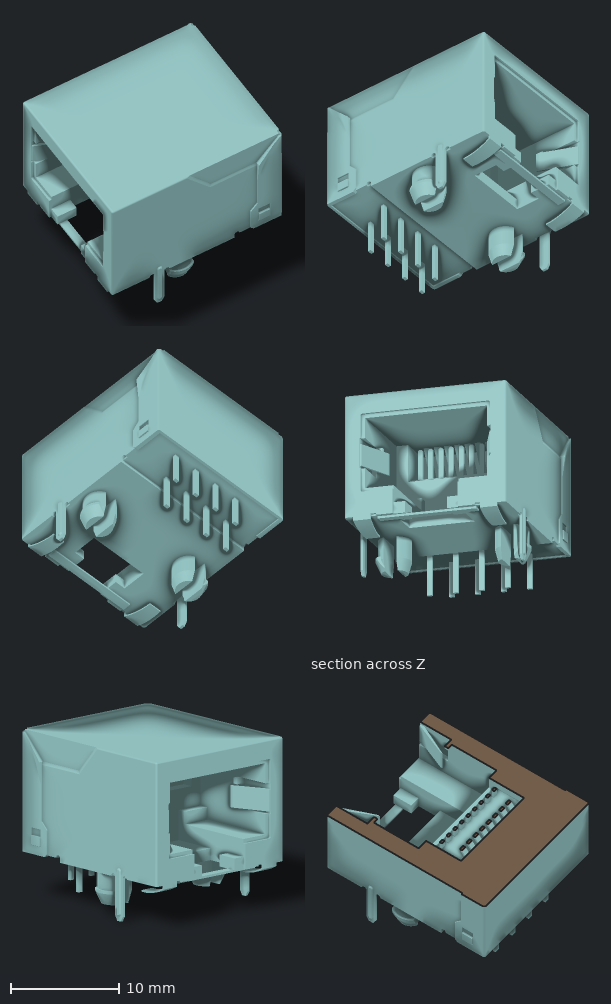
import cadquery as cq
import math


length = 18.45
overall_width = 16.59
half_width = 7.9
height = 11.85
sheet = 0.25
bend_radius = 0.2

window_half_width = 6.33
window_bottom = 2.4
window_top = 9.96
window_radius = 0.18
lip = 0.39
cavity_half_width = window_half_width - lip
cavity_bottom = window_bottom + lip
cavity_top = window_top - lip
cavity_back = 9.22
latch_slot_half_width = 3.17
floor_front = 4.8
floor_top = 1.13

contact_count = 8
contact_span = 7.0
contact_pitch = contact_span / (contact_count - 1)
comb_half_width = 4.8
comb_sill_bottom = 6.0
comb_sill_top = 6.45
comb_front = 10.33
comb_thickness = 0.28
comb_back = 13.28
finger_width = 0.45
finger_round = 0.2
finger_top = 9.37
wire_thickness = 0.28
wire_front = comb_front + comb_thickness

pin_row_span = 8.9
pin_pitch = pin_row_span / (contact_count - 1)
pin_width = 0.48
pin_thickness = 0.33
long_pin_y = 14.48
long_pin_bottom = -3.5
short_pin_y = 17.03
short_pin_bottom = -2.99


def block(x0, x1, y0, y1, z0, z1):
    """Box given by its limits along each axis."""
    return cq.Workplane("XY").box(x1 - x0, y1 - y0, z1 - z0, centered=False).translate((x0, y0, z0))


def side_prism(points, x0, x1):
    """Prism along X with a (Y, Z) outline."""
    return cq.Workplane("YZ").workplane(offset=x0).polyline(points).close().extrude(x1 - x0)


def both_sides(shape):
    """The shape together with its mirror image across the YZ plane."""
    return shape.union(shape.mirror("YZ"))


body = block(-half_width, half_width, 0, length, 0, height)
body = body.edges("(>Z or <Y) exc (>Y or <Z)").fillet(bend_radius)

side_step_y = 13.3
side_step_z = 0.39
body = body.cut(block(-half_width, half_width, side_step_y, length, 0, side_step_z))

recess_depth = 0.1
ledge_width = 0.31
recess_bottom = 8.87
recess_corner_y = 10.65
recess_top_y = 8.0
overshoot = 1.48
ledge_taper = math.degrees(math.atan(ledge_width / recess_depth))
recess_run_slope = (recess_corner_y - recess_top_y) / (height - recess_bottom)
recess = (
    cq.Workplane("YZ").workplane(offset=half_width)
    .polyline([
        (length + overshoot, recess_bottom),
        (recess_corner_y, recess_bottom),
        (recess_top_y - overshoot * recess_run_slope, height + overshoot),
        (length + overshoot, height + overshoot),
    ]).close()
    .extrude(-recess_depth, taper=ledge_taper)
)
body = body.cut(both_sides(recess))

window = block(-window_half_width, window_half_width, 0, sheet, window_bottom, window_top)
window = window.edges("|Y").fillet(window_radius)
latch_slot = block(-latch_slot_half_width, latch_slot_half_width, 0, floor_front, 0, cavity_bottom)
latch_well = block(
    -latch_slot_half_width, latch_slot_half_width, floor_front, cavity_back, floor_top, cavity_bottom
)
cavity = block(-cavity_half_width, cavity_half_width, 0, cavity_back, cavity_bottom, cavity_top)
comb_recess = block(
    -comb_half_width, comb_half_width, cavity_back, wire_front, comb_sill_bottom, cavity_top
)
wire_recess = block(
    -comb_half_width, comb_half_width, comb_front, comb_back, comb_sill_top, cavity_top
)
for pocket in (window, latch_slot, latch_well, cavity, comb_recess, wire_recess):
    body = body.cut(pocket)

ledge_step_y = 8.3
ledge_step_top = 3.99
body = body.union(both_sides(block(
    latch_slot_half_width, cavity_half_width, ledge_step_y, cavity_back, cavity_bottom, ledge_step_top
)))
guide_half_gap = 2.05
guide_front = 0.22
guide_back = 2.29
body = body.union(both_sides(block(
    guide_half_gap, latch_slot_half_width, guide_front, guide_back, 0, floor_top
)))

body = body.union(block(
    -comb_half_width, comb_half_width, comb_front, wire_front, comb_sill_bottom, comb_sill_top
))
for i in range(contact_count + 1):
    x = (i - contact_count / 2) * contact_pitch
    finger = block(
        x - finger_width / 2, x + finger_width / 2,
        comb_front, wire_front, comb_sill_bottom, finger_top,
    )
    body = body.union(finger.edges("|Y and >Z").fillet(finger_round))

wire_width = contact_pitch - finger_width
for i in range(contact_count):
    x = (i - (contact_count - 1) / 2) * contact_pitch
    wire = side_prism([
        (wire_front, cavity_top),
        (comb_back - wire_thickness, comb_sill_top),
        (comb_back, comb_sill_top),
        (wire_front + wire_thickness, cavity_top),
    ], x - wire_width / 2, x + wire_width / 2)
    body = body.union(wire)

spring_bottom = 4.95
spring_top = 7.05
spring_outer_x = 6.4
spring_bend_x = 6.25
spring_front = 0.1
spring_inner_x = 4.8
spring_back = 3.6
notch_bottom = 4.72
notch_top = 7.64
ear_inner_x = 5.39
ear_thickness = 0.46
body = body.cut(both_sides(block(
    cavity_half_width, spring_outer_x, 0, spring_back, notch_bottom, notch_top
)))
spring = (
    cq.Workplane("XY").workplane(offset=spring_bottom)
    .polyline([
        (spring_outer_x, spring_front),
        (spring_bend_x, spring_front),
        (spring_inner_x, spring_back),
        (spring_inner_x, spring_back + sheet),
        (spring_outer_x, 2 * sheet),
    ]).close().extrude(spring_top - spring_bottom)
)
spring_ear = block(
    ear_inner_x, spring_outer_x, spring_back, spring_back + ear_thickness, spring_top, notch_top
)
body = body.union(both_sides(spring)).union(both_sides(spring_ear))

strip_half_width = 4.82
strip_front = 0.46
strip_back = 1.3
strip_thickness = 0.22
body = body.union(block(
    -strip_half_width, strip_half_width, strip_front, strip_back, -strip_thickness, 0
))

ground_inner_x = 5.33
ground_outer_x = 7.03
ground_taper = 0.18
ground_thickness = 0.15
ground_bend_z = -0.35
ground_tip = (3.25, -1.0)
ground_middle = (1.57, -0.83)
notch_height = 0.17
body = body.cut(both_sides(block(strip_half_width, ground_inner_x, 0, sheet, 0, notch_height)))
ground_spring = (
    cq.Workplane("YZ").workplane(offset=ground_inner_x)
    .moveTo(0, 0)
    .lineTo(0, ground_bend_z)
    .threePointArc((ground_middle[0], ground_middle[1] - ground_thickness),
                   (ground_tip[0], ground_tip[1] - ground_thickness))
    .lineTo(*ground_tip)
    .threePointArc(ground_middle, (ground_thickness, ground_bend_z + ground_thickness / 2))
    .lineTo(ground_thickness, 0)
    .close().extrude(ground_outer_x - ground_inner_x)
)
ground_plan = (
    cq.Workplane("XY").workplane(offset=-height)
    .polyline([
        (ground_inner_x, 0),
        (ground_outer_x, 0),
        (ground_outer_x - ground_taper, ground_tip[0]),
        (ground_inner_x + ground_taper, ground_tip[0]),
    ]).close().extrude(2 * height)
)
body = body.union(both_sides(ground_spring.intersect(ground_plan)))

leg_y = 5.17
leg_width = 1.05
leg_half_width = leg_width / 2
leg_top = 0.39
leg_bottom = -4.13
leg_tip_half_width = 0.24
leg_chamfer = 0.48
rib_width = 0.57
rib_height = 0.138
rib_top = 0.92
rib_bottom = -3.67
relief_radius = 0.28
leg = side_prism([
    (leg_y - leg_half_width, leg_top),
    (leg_y - leg_half_width, leg_bottom + leg_chamfer),
    (leg_y - leg_tip_half_width, leg_bottom),
    (leg_y + leg_tip_half_width, leg_bottom),
    (leg_y + leg_half_width, leg_bottom + leg_chamfer),
    (leg_y + leg_half_width, leg_top),
], half_width - sheet, half_width)
rib_taper = 45
rib = (
    cq.Workplane("YZ").workplane(offset=half_width)
    .center(leg_y, (rib_top + rib_bottom) / 2)
    .slot2D(rib_top - rib_bottom, rib_width, 90)
    .extrude(rib_height, taper=rib_taper)
)
relief_offset = leg_half_width + relief_radius
relief_step_y = side_step_y + relief_radius
reliefs = (
    cq.Workplane("YZ").workplane(offset=half_width - sheet)
    .pushPoints([
        (leg_y - relief_offset, 0),
        (leg_y + relief_offset, 0),
        (relief_step_y, side_step_z),
    ]).circle(relief_radius).extrude(sheet)
)
body = body.cut(both_sides(reliefs)).union(both_sides(leg)).union(both_sides(rib))

cover_half_width = 8.05
cover_bottom = 0.22
cover_top = 11.59
flap_front = 15.74
flap_corner_z = 9.19
flap_foot_front = 15.0
flap_foot_top = 2.8
flap_foot_slope_top = 3.52
flap_foot_chamfer = 0.3
cover_bend_radius = 0.24
flap = side_prism([
    (length, cover_bottom),
    (flap_foot_front + flap_foot_chamfer, cover_bottom),
    (flap_foot_front, cover_bottom + flap_foot_chamfer),
    (flap_foot_front, flap_foot_top),
    (flap_front, flap_foot_slope_top),
    (flap_front, flap_corner_z),
    (flap_front + cover_top - flap_corner_z, cover_top),
    (length, cover_top),
], half_width - sheet, cover_half_width)
back_panel = block(-cover_half_width, cover_half_width, length - sheet, length, cover_bottom, cover_top)
cover = back_panel.union(both_sides(flap))
cover = cover.edges("|Z and >Y").fillet(cover_bend_radius)

latch_front = 15.81
latch_back = 17.12
latch_window_bottom = 1.05
latch_window_top = 2.73
cover = cover.cut(both_sides(block(
    half_width, cover_half_width, latch_front, latch_back, latch_window_bottom, latch_window_top
)))
body = body.union(cover)

bump_inset = 0.07
bump_top = 2.01
bump_x = 8.14
body = body.union(both_sides(block(
    half_width - sheet, bump_x,
    latch_front + bump_inset, latch_back - bump_inset,
    latch_window_bottom + bump_inset, bump_top,
)))

flare_x = overall_width / 2
flare_upper = (17.44, 10.87)
flare_lower_z = 6.92


def flare():
    """Tetrahedron standing on the flap, with its highest point over the flap corner."""
    a = (cover_half_width, *flare_upper)
    b = (cover_half_width, flap_front, flap_corner_z)
    c = (cover_half_width, flap_front, flare_lower_z)
    peak = (flare_x, flap_front, flap_corner_z)
    corners = [(a, b, c), (a, b, peak), (b, c, peak), (c, a, peak)]
    faces = [cq.Face.makeFromWires(cq.Wire.makePolygon([*map(cq.Vector, t)], close=True)) for t in corners]
    return cq.Workplane(obj=cq.Solid.makeSolid(cq.Shell.makeShell(faces)))


body = body.union(both_sides(flare()))

corner_relief_radius = 0.28
corner_relief_depth = 0.18
corner_relief = (
    cq.Workplane("XY").workplane(offset=height - corner_relief_depth)
    .center(half_width - sheet, length).circle(corner_relief_radius).extrude(corner_relief_depth)
)
body = body.cut(both_sides(corner_relief))

peg_x = 5.72
peg_y = 8.17
peg_radius = 1.59
peg_tip_radius = 1.27
peg_tip_z = -3.2
peg_cone_z = -2.05
peg_slot_width = 1.24
barb_radius = 1.8
barb_top = -1.75
barb_half_depth = 1.25


def round_peg(top, radius):
    """Cylinder from the given height down, ending in a cone."""
    profile = [(0, top), (radius, top), (radius, peg_cone_z), (peg_tip_radius, peg_tip_z), (0, peg_tip_z)]
    return cq.Workplane("XZ").polyline(profile).close().revolve(360, (0, 0), (0, 1))


shank = round_peg(0, peg_radius)
barb = round_peg(barb_top, barb_radius).intersect(
    block(0, barb_radius, -barb_half_depth, barb_half_depth, peg_tip_z, barb_top)
)
peg_slot = block(-peg_slot_width / 2, peg_slot_width / 2, -peg_radius, peg_radius, peg_tip_z, 0)
peg = shank.union(barb).cut(peg_slot).translate((peg_x, peg_y, 0))
body = body.union(both_sides(peg))

for i in range(contact_count):
    x = (i - (contact_count - 1) / 2) * pin_pitch
    y, bottom = (long_pin_y, long_pin_bottom) if i % 2 == 0 else (short_pin_y, short_pin_bottom)
    body = body.union(block(
        x - pin_width / 2, x + pin_width / 2,
        y - pin_thickness / 2, y + pin_thickness / 2, bottom, floor_top,
    ))

result = body